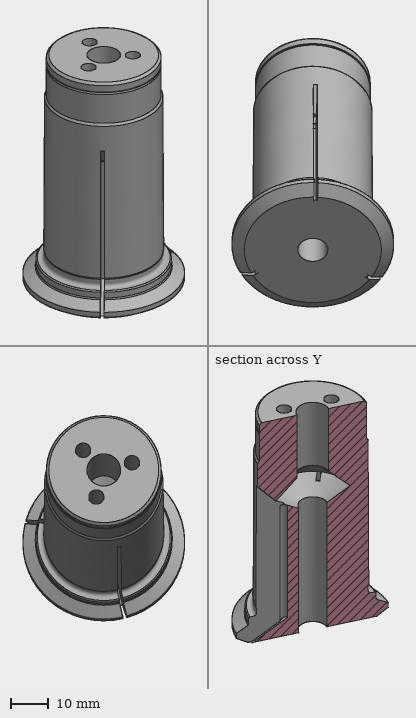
import cadquery as cq
import math

total_height = 70.0
flange_radius = 21.5
flange_base_radius = 18.2
flange_bevel_top = 2.1
flange_rim_top = 3.6
flange_edge_chamfer = 0.2
flange_cone_radius = 18.2
flange_cone_top = 5.5
collar_radius = 18.0
collar_base = 5.95
collar_top = 8.05
collar_chamfer = 0.35
neck_radius = 15.75
neck_fillet = 1.0
neck_top = 10.35
body_base = 10.85
body_base_radius = 15.95
body_top_radius = 15.75
body_top = 57.1
head_base = 57.8
head_radius = 15.25
head_groove_radius = 15.05
head_groove_base = 66.6
head_groove_top = 67.2
head_chamfer = 0.7

top_hole_radius = 8.9 / 2
clamp_bore_radius = 8.0 / 2
chamber_radius = 21.0 / 2
chamber_rim_height = 43.75
chamber_floor_slope = math.radians(30)
chamber_floor_drop = (chamber_radius - clamp_bore_radius) * math.tan(chamber_floor_slope)
chamber_roof_rise = chamber_radius - top_hole_radius

coolant_hole_diameter = 4.0
coolant_circle_radius = 15.5 / 2
coolant_angles = (30, 150, 270)

slit_angles = (60, 180, 300)
slit_width = 1.05
slit_top = 49.55
slit_foot_radius = 17.2
slit_foot_slope = math.radians(30)
relief_hole_radius = 1.0
relief_hole_centre = 8.25
relief_hole_top = 41.5
slit_reach = flange_radius + 0.7


def make_sleeve():
    """Revolve the outer outline about the Z axis."""
    fillet_mid = neck_fillet * (1 - math.sqrt(0.5))
    outline = (
        cq.Workplane("XZ")
        .lineTo(flange_base_radius, 0)
        .lineTo(flange_radius, flange_bevel_top)
        .lineTo(flange_radius, flange_rim_top)
        .lineTo(flange_radius - flange_edge_chamfer, flange_rim_top + flange_edge_chamfer)
        .lineTo(flange_cone_radius, flange_cone_top)
        .lineTo(collar_radius, collar_base)
        .lineTo(collar_radius, collar_top - collar_chamfer)
        .lineTo(collar_radius - collar_chamfer, collar_top)
        .lineTo(neck_radius + neck_fillet, collar_top)
        .threePointArc(
            (neck_radius + fillet_mid, collar_top + fillet_mid),
            (neck_radius, collar_top + neck_fillet),
        )
        .lineTo(neck_radius, neck_top)
        .lineTo(body_base_radius, body_base)
        .lineTo(body_top_radius, body_top)
        .lineTo(head_radius, head_base)
        .lineTo(head_radius, head_groove_base)
        .lineTo(head_groove_radius, head_groove_top)
        .lineTo(head_radius, head_groove_top)
        .lineTo(head_radius, total_height - head_chamfer)
        .lineTo(head_radius - head_chamfer, total_height)
        .lineTo(0, total_height)
        .close()
    )
    return outline.revolve(360, (0, 0, 0), (0, 1, 0))


def make_centre_passage():
    """Top hole, chamber and clamping bore as one revolved cutter."""
    roof_top = chamber_rim_height + chamber_roof_rise
    floor_bottom = chamber_rim_height - chamber_floor_drop
    outline = (
        cq.Workplane("XZ")
        .lineTo(clamp_bore_radius, 0)
        .lineTo(clamp_bore_radius, floor_bottom)
        .lineTo(chamber_radius, chamber_rim_height)
        .lineTo(top_hole_radius, roof_top)
        .lineTo(top_hole_radius, total_height)
        .lineTo(0, total_height)
        .close()
    )
    return outline.revolve(360, (0, 0, 0), (0, 1, 0))


def make_coolant_hole(angle):
    """Straight hole from the top face down into the chamber."""
    return (
        cq.Workplane("XY", origin=(0, 0, chamber_rim_height))
        .center(coolant_circle_radius, 0)
        .circle(coolant_hole_diameter / 2)
        .extrude(total_height - chamber_rim_height)
        .rotate((0, 0, 0), (0, 0, 1), angle)
    )


def make_slit(angle):
    """Radial slit with sloping ends and a drilled relief hole along its inner edge."""
    def foot_height(radius):
        return (slit_foot_radius - radius) * math.tan(slit_foot_slope)

    relief_inner = relief_hole_centre - relief_hole_radius
    blade = (
        cq.Workplane("XZ")
        .moveTo(slit_foot_radius, 0)
        .lineTo(relief_hole_centre, foot_height(relief_hole_centre))
        .lineTo(relief_hole_centre, chamber_rim_height)
        .lineTo(chamber_radius, chamber_rim_height)
        .lineTo(body_top_radius, slit_top)
        .lineTo(slit_reach, slit_top)
        .lineTo(slit_reach, 0)
        .close()
        .extrude(slit_width / 2, both=True)
    )
    relief_hole = (
        cq.Workplane("XZ", origin=(relief_hole_centre, 0, 0))
        .lineTo(relief_hole_radius, 0)
        .lineTo(relief_hole_radius, relief_hole_top)
        .lineTo(0, relief_hole_top + relief_hole_radius)
        .close()
        .revolve(360, (0, 0, 0), (0, 1, 0))
    )
    below_foot = (
        cq.Workplane("XZ")
        .moveTo(relief_inner, 0)
        .lineTo(slit_foot_radius, 0)
        .lineTo(relief_inner, foot_height(relief_inner))
        .close()
        .extrude(relief_hole_radius, both=True)
    )
    relief_hole = relief_hole.cut(below_foot)
    return blade.union(relief_hole).rotate((0, 0, 0), (0, 0, 1), angle)


result = make_sleeve().cut(make_centre_passage())
for hole_angle in coolant_angles:
    result = result.cut(make_coolant_hole(hole_angle))
for slit_angle in slit_angles:
    result = result.cut(make_slit(slit_angle))